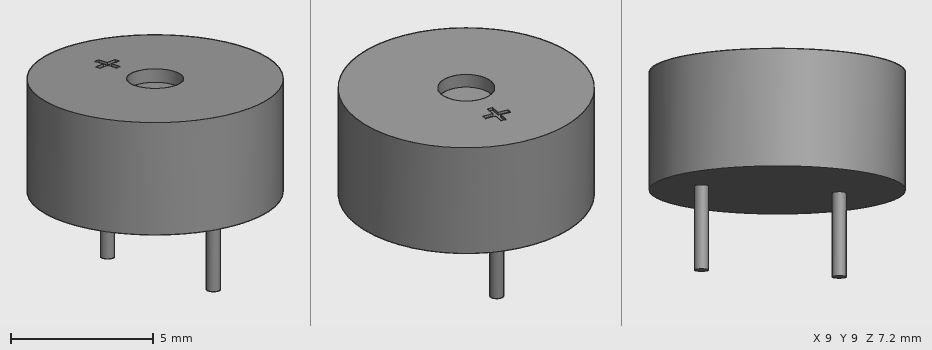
import cadquery as cq

case_diameter = 9.0
total_height = 7.2
pin_length = 3.0
case_height = total_height - pin_length

sound_hole_diameter = 2.0
sound_hole_depth = 0.5

pin_diameter = 0.5
pin_spacing = 5.0
positive_pin_x = -2.25
negative_pin_x = positive_pin_x + pin_spacing

mark_size = 1.0
mark_stroke = 0.2
mark_depth = 0.1


def top_cutter(depth):
    """Workplane sunk below the top face by the given depth."""
    return cq.Workplane("XY").workplane(offset=case_height - depth)


def make_case():
    return cq.Workplane("XY").circle(case_diameter / 2).extrude(case_height)


def make_sound_hole():
    return top_cutter(sound_hole_depth).circle(sound_hole_diameter / 2).extrude(sound_hole_depth)


def make_plus_mark():
    plane = top_cutter(mark_depth).center(positive_pin_x, 0)
    along_x = plane.rect(mark_size, mark_stroke).extrude(mark_depth)
    along_y = plane.rect(mark_stroke, mark_size).extrude(mark_depth)
    return along_x.union(along_y)


def make_pins():
    positions = [(positive_pin_x, 0), (negative_pin_x, 0)]
    return cq.Workplane("XY").pushPoints(positions).circle(pin_diameter / 2).extrude(-pin_length)


result = make_case().cut(make_sound_hole()).cut(make_plus_mark()).union(make_pins())